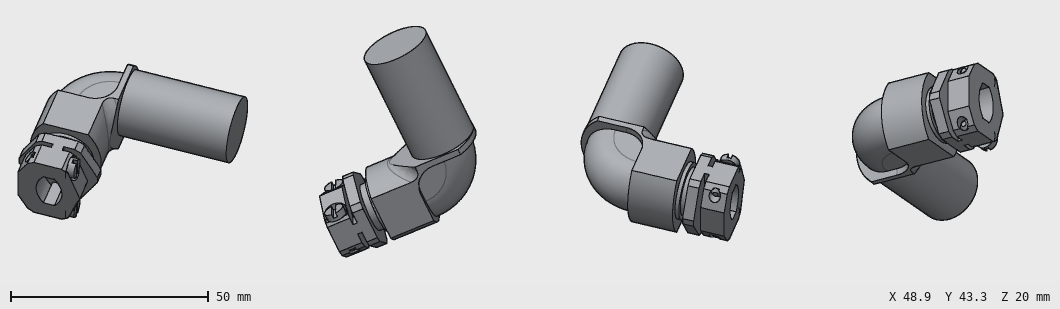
import cadquery as cq
import math


tube_radius = 8.6
tube_end = 38.5

body_half_height = 9.35
block_half_width = 9.45
block_flat_half_width = 6.0
block_front = -21.35
block_back = -9.45
flange_inner = 7.85
flange_outer = 9.5
flange_top = tube_radius
flange_bottom = -11.95
flange_bulge = 4.3
inner_corner_radius = 5.95
outer_corner_radius = 3.35
bend_radius = 8.9
bend_section_radius = 7.55

collar_radius = 7.5
collar_front = -22.4
neck_radius = 6.3

nut_back = -24.35
nut_front = -27.3
nut_apothem = 9.5
nut_corner_apothem = 10.4

clamp_back = -28.45
clamp_front = -34.7
clamp_left = -8.3
clamp_right = 8.2
clamp_left_half_height = 4.2
clamp_shoulder_z = 8.45
clamp_left_shoulder = -5.7
clamp_left_top = -4.0
clamp_right_shoulder = 5.1
clamp_right_top = 3.4
web_half_width = 1.45
opening_half_width = 3.4
opening_half_height = 4.95

screw_y = (clamp_back + clamp_front) / 2
screw_radius = 1.45
tip_radius = 0.7
tip_start = clamp_left_shoulder
head_radius = 2.55
height_over_heads = 20.0
screw_z = height_over_heads / 2 - head_radius
head_seat = 4.35
head_end = 6.4
head_pocket_radius = 3.1
slot_width = 1.1
slot_depth = 1.12


def y_cylinder(radius, back, front):
    """Cylinder on the gland axis, running from back towards -Y."""
    return cq.Workplane("XZ", origin=(0, back, 0)).circle(radius).extrude(back - front)


def x_cylinder(radius, start, end, y=0, z=0):
    """Cylinder parallel to X."""
    return cq.Workplane("YZ", origin=(start, y, z)).circle(radius).extrude(end - start)


def bulged_section(plane, start, flat_start, flat_end, end):
    """Section with flat top and bottom, and arcs reaching out to start and end at mid height."""
    h = body_half_height
    return (
        cq.Workplane(plane)
        .moveTo(flat_start, h)
        .lineTo(flat_end, h)
        .threePointArc((end, 0), (flat_end, -h))
        .lineTo(flat_start, -h)
        .threePointArc((start, 0), (flat_start, h))
        .close()
    )


def make_block():
    """Block with bulged sides, from the tube axis to the front."""
    w, flat = block_half_width, block_flat_half_width
    return bulged_section("XZ", -w, -flat, flat, w).extrude(-block_front)


def make_flange(end):
    """Flange with bulged ends, from the gland axis to end."""
    flat_low, flat_high = flange_bottom + flange_bulge, flange_top - flange_bulge
    return bulged_section("YZ", flange_bottom, flat_low, flat_high, flange_top).extrude(end)


def make_bend():
    """Quarter-turn bend around the inner corner of block and flange."""
    r = bend_section_radius
    return (
        cq.Workplane("XZ", origin=(flange_inner, block_back, 0))
        .moveTo(0, -r)
        .lineTo(-bend_radius, -r)
        .threePointArc((-bend_radius - r, 0), (-bend_radius, r))
        .lineTo(0, r)
        .close()
        .revolve(90, (0, 0), (0, -1))
    )


def make_elbow():
    """Block and flange blended at both corners, with the bend between them."""
    overlong = flange_outer + 2 * outer_corner_radius
    shell = make_block().union(make_flange(overlong))
    outer_edge = cq.selectors.BoxSelector(
        (block_flat_half_width, flange_bottom, -0.5),
        (flange_outer, flange_bottom + flange_bulge, 0.5),
    )
    shell = shell.edges(outer_edge).fillet(outer_corner_radius)
    trim_size = 48.9
    beyond_flange = cq.Workplane("XY").box(trim_size, trim_size, trim_size)
    shell = shell.cut(beyond_flange.translate((flange_outer + trim_size / 2, 0, 0)))
    inner_corner = (
        cq.Workplane("XY")
        .box(trim_size, trim_size, trim_size)
        .edges("|Z and >X and <Y")
        .fillet(inner_corner_radius)
        .translate((flange_inner - trim_size / 2, block_back + trim_size / 2, 0))
    )
    return shell.cut(inner_corner).union(make_bend())


def make_nut():
    """Hexagonal nut with flats at top and bottom and trimmed corners."""
    thickness = nut_back - nut_front
    plane = cq.Workplane("XZ", origin=(0, nut_back, 0))
    corner_ratio = 2 / math.cos(math.pi / 6)
    hexagon = plane.polygon(6, nut_apothem * corner_ratio).extrude(thickness)
    trim = plane.transformed(rotate=(0, 0, 30)).polygon(6, nut_corner_apothem * corner_ratio)
    return hexagon.intersect(trim.extrude(thickness))


def make_clamp():
    """Clamp block and webs, with the flat-ended cable opening through them."""
    upper = [
        (clamp_left, clamp_left_half_height),
        (clamp_left_shoulder, clamp_shoulder_z),
        (clamp_left_top, nut_apothem),
        (clamp_right_top, nut_apothem),
        (clamp_right_shoulder, clamp_shoulder_z),
    ]
    lower = [(x, -z) for x, z in reversed(upper)]
    outline = upper + [(clamp_right, 0)] + lower
    clamp = cq.Workplane("XZ", origin=(0, clamp_back, 0)).polyline(outline).close()
    clamp = clamp.extrude(clamp_back - clamp_front)
    webs = (
        cq.Workplane("XZ", origin=(0, nut_front, 0))
        .rect(2 * web_half_width, 2 * nut_apothem)
        .extrude(nut_front - clamp_back)
    )
    opening = (
        cq.Workplane("XZ", origin=(0, nut_front, 0))
        .moveTo(-web_half_width, opening_half_height)
        .lineTo(web_half_width, opening_half_height)
        .threePointArc((opening_half_width, 0), (web_half_width, -opening_half_height))
        .lineTo(-web_half_width, -opening_half_height)
        .threePointArc((-opening_half_width, 0), (-web_half_width, opening_half_height))
        .close()
        .extrude(nut_front - clamp_front)
    )
    return clamp.union(webs).cut(opening)


def add_screw(clamp, z):
    """Open the screw hole and head pocket at height z and set the screw in them."""
    tip_length = screw_radius - tip_radius
    hole_end = tip_start + tip_length
    clamp = clamp.cut(x_cylinder(screw_radius, clamp_left, hole_end, screw_y, z))
    clamp = clamp.cut(x_cylinder(head_pocket_radius, head_seat, clamp_right, screw_y, z))
    tip = cq.Solid.makeCone(
        tip_radius, screw_radius, tip_length, cq.Vector(tip_start, screw_y, z), cq.Vector(1, 0, 0)
    )
    head = x_cylinder(head_radius, head_seat, head_end, screw_y, z)
    slot = cq.Workplane("XY").box(2 * slot_depth, slot_width, 2 * head_radius)
    head = head.cut(slot.translate((head_end, screw_y, z)))
    return clamp.union(cq.Workplane(tip)).union(head)


clamp = make_clamp()
for side in (1, -1):
    clamp = add_screw(clamp, side * screw_z)

result = (
    make_elbow()
    .union(x_cylinder(tube_radius, flange_outer, tube_end))
    .union(y_cylinder(collar_radius, block_front, collar_front))
    .union(y_cylinder(neck_radius, collar_front, nut_back))
    .union(make_nut())
    .union(clamp)
)